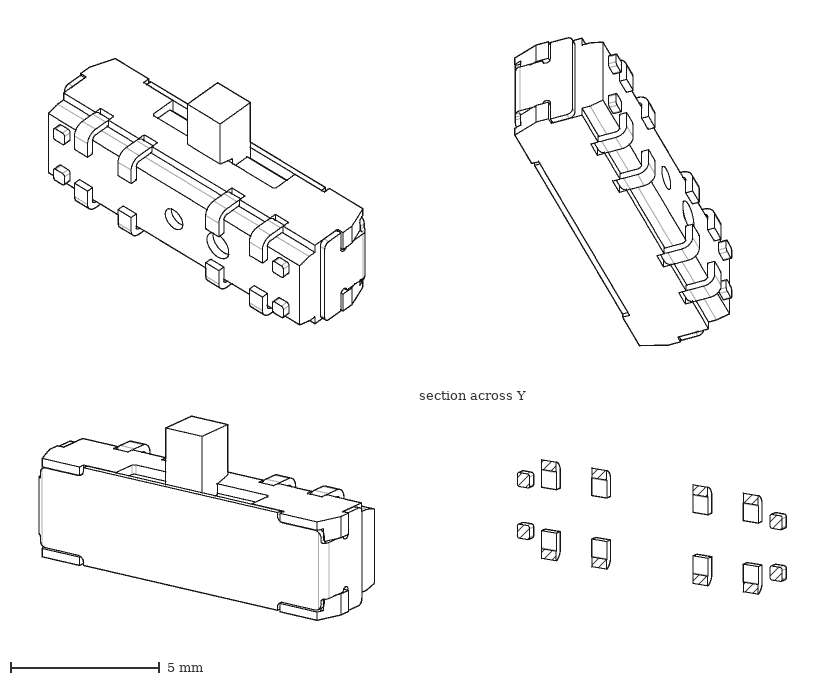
import cadquery as cq


BODY_HALF_HEIGHT = 1.75
CORE_HALF_LENGTH = 5.75
LEDGE_Y = -2.47
LEDGE_DROP = 0.31
TAPER_Y = -2.76
NOSE_Y = -3.23
NOSE_DROP = 0.43

LIP_THICKNESS = 0.3
LIP_Z = BODY_HALF_HEIGHT - LIP_THICKNESS
EAR_HALF_LENGTH = 6.0
LIP_HALF_LENGTH = 5.66
EAR_SLOPE_END_Y = -0.91
EAR_FRONT_Y = -1.35

SHEET = 0.2
COVER_REAR_Y = -0.05
COVER_INNER_Y = COVER_REAR_Y - SHEET
COVER_HALF_LENGTH = CORE_HALF_LENGTH + SHEET
COVER_BEND_RADIUS = 0.25
COVER_BEND_HALF_HEIGHT = 1.0
COVER_HALF_HEIGHT = 1.74
WING_WIDE_Y = -1.4
WING_FRONT_Y = -2.21
WING_CORNER_RADIUS = 0.2
RELIEF_RADIUS = 0.15
SHOULDER_HALF_LENGTH = 5.78
SHOULDER_HALF_HEIGHT = 1.42
SHOULDER_RADIUS = 0.23
SHOULDER_ROOT_RADIUS = 0.07
CREST_HALF_LENGTH = 4.0
CREST_ROOT_RADIUS = 0.23
NOTCH_HALF_LENGTH = 4.13

TERMINAL_X = [-4.0, -2.0, 2.0, 4.0]
TERMINAL_WIDTH = 0.6
TERMINAL_THICKNESS = 0.25
TERMINAL_BEND_RADIUS = 0.4
TERMINAL_REAR_Y = -2.21
TERMINAL_FRONT_Y = -3.5
TERMINAL_LEG = 1.0

PEG_SIZE = 0.5
PEG_CORNER_RADIUS = 0.1
PEG_X = 5.0
PEG_Z = 0.9
SMALL_HOLE_DIAMETER = 0.8
LARGE_HOLE_DIAMETER = 1.0
LARGE_HOLE_X = 2.0
HOLE_DEPTH = 0.3

WINDOW_HALF_LENGTH = 2.8
WINDOW_FRONT_Y = -1.27
WINDOW_CORNER_RADIUS = 0.1
WINDOW_DEPTH = 0.34
FLOOR_Z = BODY_HALF_HEIGHT - WINDOW_DEPTH
FLOOR_SLOPE = 0.15

KNOB_LENGTH = 1.5
KNOB_DEPTH = 1.5
KNOB_RISE = 1.99
KNOB_FRONT_GAP = 0.2
STEM_FRONT_GAP = 0.05
STEM_FRONT_Y = -1.14


def box(x0, x1, y0, y1, z0, z1):
    """Box between two opposite corners."""
    return cq.Workplane("XY").box(x1 - x0, y1 - y0, z1 - z0, centered=False).translate((x0, y0, z0))


def extrude_along_x(profile, x_centre, length):
    """Extrude a YZ profile symmetrically about x_centre."""
    return profile.extrude(length / 2, both=True).translate((x_centre, 0, 0))


def mirrored(shape, plane):
    """The shape together with its mirror image."""
    return shape.union(shape.mirror(plane))


def make_core():
    upper_half = [
        (COVER_INNER_Y, BODY_HALF_HEIGHT),
        (LEDGE_Y, BODY_HALF_HEIGHT),
        (LEDGE_Y, BODY_HALF_HEIGHT - LEDGE_DROP),
        (TAPER_Y, BODY_HALF_HEIGHT - LEDGE_DROP),
        (NOSE_Y, BODY_HALF_HEIGHT - NOSE_DROP),
    ]
    lower_half = [(y, -z) for y, z in reversed(upper_half)]
    profile = cq.Workplane("YZ").polyline(upper_half + lower_half).close()
    return extrude_along_x(profile, 0, 2 * CORE_HALF_LENGTH)


def make_ears_and_lips():
    """Ears at both ends and the lips that reach over the rear plate, top and bottom."""
    right_side = [
        (LIP_HALF_LENGTH, 0),
        (EAR_HALF_LENGTH, EAR_SLOPE_END_Y),
        (EAR_HALF_LENGTH, EAR_FRONT_Y),
    ]
    left_side = [(-x, y) for x, y in reversed(right_side)]
    slab = (
        cq.Workplane("XY", origin=(0, 0, COVER_BEND_HALF_HEIGHT))
        .polyline(right_side + left_side)
        .close()
        .extrude(BODY_HALF_HEIGHT - COVER_BEND_HALF_HEIGHT)
    )
    under_lip = box(
        -EAR_HALF_LENGTH, EAR_HALF_LENGTH, COVER_INNER_Y, 0, COVER_BEND_HALF_HEIGHT, LIP_Z
    )
    notch = box(-NOTCH_HALF_LENGTH, NOTCH_HALF_LENGTH, COVER_INNER_Y, 0, LIP_Z, BODY_HALF_HEIGHT)
    return mirrored(slab.cut(under_lip).cut(notch), "XY")


def make_bent_blank(half_height):
    """Block spanning the cover's length, with its rear edges rounded like the bends."""
    return box(
        -COVER_HALF_LENGTH, COVER_HALF_LENGTH, WING_WIDE_Y, COVER_REAR_Y, -half_height, half_height
    ).edges("|Z and >Y").fillet(COVER_BEND_RADIUS)


def make_root_fillets(x, z, radius):
    """Concave fillets in the four inside corners of the rear plate at (+-x, +-z)."""
    fillet = (
        cq.Workplane("XZ", origin=(0, COVER_REAR_Y, 0))
        .moveTo(x, z)
        .lineTo(x + radius, z)
        .radiusArc((x, z + radius), radius)
        .close()
        .extrude(SHEET)
    )
    return mirrored(mirrored(fillet, "YZ"), "XY")


def make_rear_plate():
    """Rear of the cover: rounded shoulders with a crest at the top and bottom."""
    shoulders = box(
        -SHOULDER_HALF_LENGTH, SHOULDER_HALF_LENGTH, COVER_INNER_Y, COVER_REAR_Y,
        -SHOULDER_HALF_HEIGHT, SHOULDER_HALF_HEIGHT,
    ).edges("|Y").fillet(SHOULDER_RADIUS)
    crest = box(
        -CREST_HALF_LENGTH, CREST_HALF_LENGTH, COVER_INNER_Y, COVER_REAR_Y,
        -COVER_HALF_HEIGHT, COVER_HALF_HEIGHT,
    )
    crest_roots = make_root_fillets(CREST_HALF_LENGTH, SHOULDER_HALF_HEIGHT, CREST_ROOT_RADIUS)
    shoulder_roots = make_root_fillets(SHOULDER_HALF_LENGTH, COVER_BEND_HALF_HEIGHT, SHOULDER_ROOT_RADIUS)
    plate = shoulders.union(crest).union(crest_roots).union(shoulder_roots)
    return plate.intersect(make_bent_blank(BODY_HALF_HEIGHT))


def make_wings():
    """End wings of the cover: a bend of limited height that widens to the full height."""
    bend = make_bent_blank(COVER_BEND_HALF_HEIGHT)
    wide_part = box(
        -COVER_HALF_LENGTH, COVER_HALF_LENGTH, WING_FRONT_Y, WING_WIDE_Y,
        -COVER_HALF_HEIGHT, COVER_HALF_HEIGHT,
    ).edges("|X and <Y").fillet(WING_CORNER_RADIUS)
    relief = extrude_along_x(
        cq.Workplane("YZ").center(WING_WIDE_Y + RELIEF_RADIUS, COVER_BEND_HALF_HEIGHT).circle(RELIEF_RADIUS),
        0, 2 * COVER_HALF_LENGTH,
    )
    return bend.union(wide_part).cut(mirrored(relief, "XY"))


def make_terminal(x_centre):
    """Top terminal: a strip that comes out of the housing, runs forward and bends down."""
    leg_z = BODY_HALF_HEIGHT - TERMINAL_LEG
    hook = extrude_along_x(
        cq.Workplane("YZ")
        .moveTo(TERMINAL_REAR_Y, leg_z)
        .lineTo(TERMINAL_REAR_Y, BODY_HALF_HEIGHT - TERMINAL_BEND_RADIUS)
        .radiusArc((TERMINAL_REAR_Y - TERMINAL_BEND_RADIUS, BODY_HALF_HEIGHT), -TERMINAL_BEND_RADIUS)
        .lineTo(TERMINAL_FRONT_Y + TERMINAL_BEND_RADIUS, BODY_HALF_HEIGHT)
        .radiusArc((TERMINAL_FRONT_Y, BODY_HALF_HEIGHT - TERMINAL_BEND_RADIUS), -TERMINAL_BEND_RADIUS)
        .lineTo(TERMINAL_FRONT_Y, leg_z)
        .close(),
        x_centre, TERMINAL_WIDTH,
    )
    inner_front_y = TERMINAL_FRONT_Y + TERMINAL_THICKNESS
    clearance = box(
        x_centre - TERMINAL_WIDTH / 2, x_centre + TERMINAL_WIDTH / 2,
        inner_front_y, LEDGE_Y, leg_z, BODY_HALF_HEIGHT - TERMINAL_THICKNESS,
    )
    inner_radius = TERMINAL_BEND_RADIUS - TERMINAL_THICKNESS
    clearance = clearance.edges("|X and <Y and >Z").fillet(inner_radius)
    return hook.cut(clearance)


def make_terminal_pocket(x_centre):
    """Slot in the top edge of the housing behind a terminal."""
    return box(
        x_centre - TERMINAL_WIDTH / 2, x_centre + TERMINAL_WIDTH / 2, LEDGE_Y, TERMINAL_REAR_Y,
        BODY_HALF_HEIGHT - TERMINAL_BEND_RADIUS, BODY_HALF_HEIGHT,
    )


def make_pegs():
    spots = [(x, z) for x in (-PEG_X, PEG_X) for z in (-PEG_Z, PEG_Z)]
    return (
        cq.Workplane("XZ", origin=(0, NOSE_Y, 0))
        .pushPoints(spots)
        .rect(PEG_SIZE, PEG_SIZE)
        .extrude(NOSE_Y - TERMINAL_FRONT_Y)
        .edges("|Y")
        .fillet(PEG_CORNER_RADIUS)
    )


def make_blind_hole(x_centre, diameter):
    floor = cq.Workplane("XZ", origin=(x_centre, NOSE_Y + HOLE_DEPTH, 0))
    return floor.circle(diameter / 2).extrude(HOLE_DEPTH)


def make_window():
    """Pocket for the slider, with a floor that slopes down at the rear."""
    window = box(
        -WINDOW_HALF_LENGTH, WINDOW_HALF_LENGTH, WINDOW_FRONT_Y, COVER_INNER_Y, FLOOR_Z, BODY_HALF_HEIGHT
    ).edges("|Z and <Y").fillet(WINDOW_CORNER_RADIUS)
    slope = extrude_along_x(
        cq.Workplane("YZ").polyline([
            (COVER_INNER_Y, FLOOR_Z),
            (COVER_INNER_Y - FLOOR_SLOPE, FLOOR_Z),
            (COVER_INNER_Y, FLOOR_Z - FLOOR_SLOPE),
        ]).close(),
        0, 2 * WINDOW_HALF_LENGTH,
    )
    return window.union(slope)


def make_housing():
    housing = make_core().union(make_ears_and_lips())
    for x in TERMINAL_X:
        housing = housing.cut(mirrored(make_terminal_pocket(x), "XY"))
    for x in TERMINAL_X:
        housing = housing.union(mirrored(make_terminal(x), "XY"))
    housing = housing.union(make_rear_plate()).union(make_wings()).union(make_pegs())
    housing = housing.cut(make_blind_hole(0, SMALL_HOLE_DIAMETER))
    housing = housing.cut(make_blind_hole(LARGE_HOLE_X, LARGE_HOLE_DIAMETER))
    return housing.cut(make_window())


def make_slider():
    """Knob on a stem that stands on the floor of the window."""
    top_z = BODY_HALF_HEIGHT + KNOB_RISE
    knob_front_y = COVER_INNER_Y - KNOB_DEPTH
    profile = cq.Workplane("YZ").polyline([
        (COVER_INNER_Y, FLOOR_Z - FLOOR_SLOPE),
        (COVER_INNER_Y, top_z),
        (knob_front_y, top_z),
        (knob_front_y, BODY_HALF_HEIGHT + KNOB_FRONT_GAP),
        (STEM_FRONT_Y, BODY_HALF_HEIGHT + STEM_FRONT_GAP),
        (STEM_FRONT_Y, FLOOR_Z),
        (COVER_INNER_Y - FLOOR_SLOPE, FLOOR_Z),
    ]).close()
    return extrude_along_x(profile, 0, KNOB_LENGTH)


housing = make_housing()
slider = make_slider()
result = cq.Compound.makeCompound([housing.solids().val(), slider.val()])